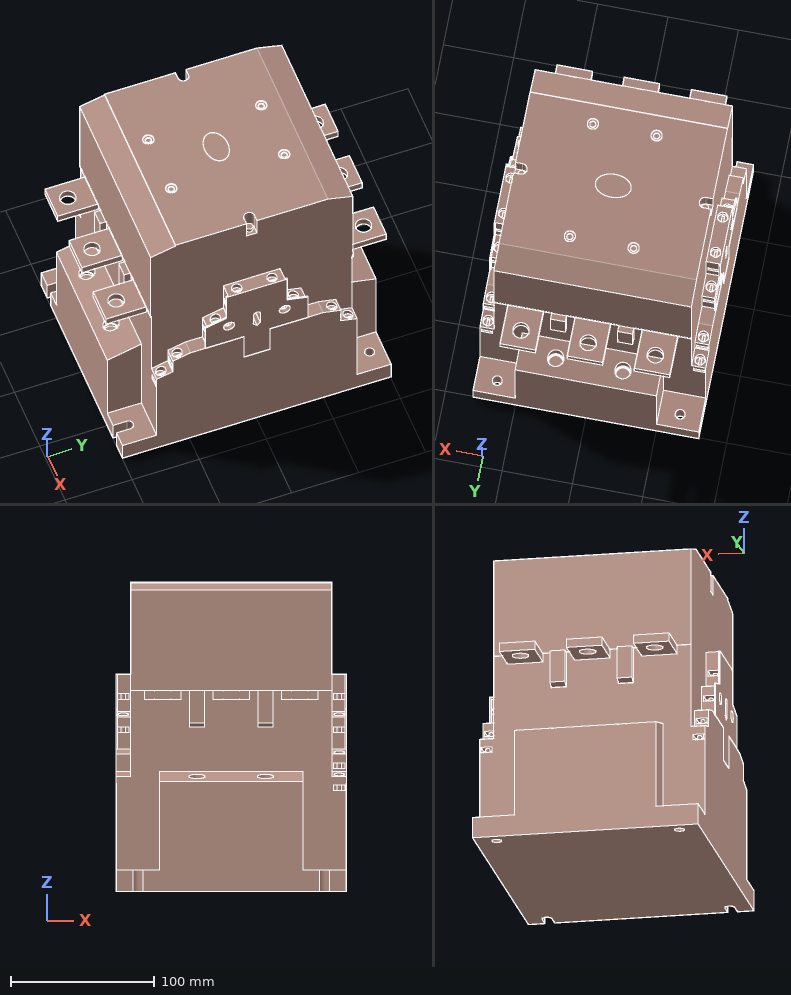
import cadquery as cq
import math

height = 216.0
slope = math.tan(math.radians(15))

core_width = 140.5
cover_length = 150.8
cover_bottom = 140.5
cover_flat_length = 113.6
cover_eave_height = 210.4
cover_front_step = 0.9
core_length = 149.5

base_width = 160.5
base_length = 200.5
base_thickness = 15.0
block_width = 100.5
block_edge_height = 77.0
block_hole_diameter = 11.2
block_hole_depth = 7.0
block_bore_diameter = 10.0
block_bore_depth = 2.2
block_hole_y = 87.5

mount_diameter = 7.0
mount_x = 65.0
mount_y = 89.9

pole_pitch = 47.7
bar_width = 25.3
bar_length = 209.0
bar_thickness = 6.0
bar_bottom = 134.1
bar_shift = -0.5
bar_hole_diameter = 11.5
bar_hole_y = 92.2

rib_width = 10.5
rib_length = 159.5
rib_bottom = 115.0
rib_bevel_z = 2.5
rib_bevel_y = 4.3

plate_top = 99.4
plate_flat_half = 49.5
plate_step_half = 62.6
plate_end_half = core_length / 2
plate_step_low = 83.5

aux_span = 161.0
aux_top = 151.6
aux_body_span = 159.0
aux_body_top_half = 21.2
aux_body_half = 36.7
aux_shoulder_edge = 121.5
aux_face_overlap = 1.5
aux_stem_half = 9.7
aux_stem_bottom = 75.5

window_width = 5.0
window_top = 123.5
window_bottom = 108.2

screw_diameter = 7.1
screw_depth = 4.3
screw_slot_width = 1.7
screw_slot_length = 4.8
screw_slot_depth = 1.3
side_screw_diameter = 8.0
side_head_diameter = 5.6
side_head_height = 1.7
side_screw_y = 20.7
side_screw_z = 117.0
screw_x = (core_width + aux_span) / 4
aux_top_screw_y = 13.2
aux_shoulder_screw_y = 29.2
plate_upper_screw_y = 57.7
plate_lower_screw_y = 69.8

entry_width = 7.8
entry_height = 3.9
entry_depth = 9.7
shank_diameter = 3.0
aux_top_entry_z = 136.0
aux_shoulder_entry_z = 112.8
plate_upper_entry_z = 88.0
plate_lower_entry_z = 72.4

cover_screw_x = 22.7
cover_screw_y = 42.1
cover_screw_diameter = 7.8
cover_screw_depth = 0.9
cover_screw_bore = 4.3
cover_screw_bore_depth = 1.7
notch_x = 65.2
notch_width = 7.8
notch_depth = 14.3
notch_head_diameter = 5.2
notch_head_height = 3.2
badge_length = 25.3
badge_width = 17.0
badge_depth = 0.2


def centred_box(length_x, length_y, bottom, top):
    box = cq.Workplane("XY").box(length_x, length_y, top - bottom, centered=(True, True, False))
    return box.translate((0, 0, bottom))


def side_prism(right_half, width):
    """Mirror a half outline of (y, z) points about Y = 0 and extrude it evenly along X."""
    left_half = [(-y, z) for y, z in reversed(right_half)]
    return cq.Workplane("YZ").polyline(right_half + left_half).close().extrude(width / 2, both=True)


def vertical_cylinder(diameter, x, y, bottom, top):
    return cq.Workplane("XY", origin=(x, y, bottom)).circle(diameter / 2).extrude(top - bottom)


def screw_recess(diameter, clearance):
    """Recess along -Z from the origin with a driver slot along Y; clearance extends it upward."""
    recess = vertical_cylinder(diameter, 0, 0, -screw_depth, clearance)
    slot = centred_box(screw_slot_width, screw_slot_length, -screw_depth - screw_slot_depth, -screw_depth)
    return recess.union(slot)


def raised_screw_recess():
    """Side screw recess along -Z, with a slotted head standing on its floor."""
    head_top = side_head_height - screw_depth
    head = vertical_cylinder(side_head_diameter, 0, 0, -screw_depth, head_top)
    head = head.cut(centred_box(screw_slot_width, screw_slot_length, head_top - screw_slot_depth, head_top))
    return vertical_cylinder(side_screw_diameter, 0, 0, -screw_depth, 0).cut(head)


def make_cover():
    half_length = cover_length / 2
    half_flat = cover_flat_length / 2
    outline = [
        (-half_length, cover_bottom),
        (half_length, cover_bottom),
        (half_length, cover_eave_height),
        (half_flat, height),
        (-half_flat, height),
        (-half_flat, height - cover_front_step),
        (-half_length, cover_eave_height),
    ]
    return cq.Workplane("YZ").polyline(outline).close().extrude(core_width / 2, both=True)


def make_base():
    base = centred_box(base_width, base_length, 0, base_thickness)
    for x in (-mount_x, mount_x):
        for y in (-mount_y, mount_y):
            base = base.cut(vertical_cylinder(mount_diameter, x, y, 0, base_thickness))
        open_slot = centred_box(mount_diameter, base_length / 2 - mount_y, 0, base_thickness)
        base = base.cut(open_slot.translate((x, -(base_length / 2 + mount_y) / 2, 0)))
    return base


def make_terminal_blocks():
    ridge_height = block_edge_height + slope * (base_length - core_length) / 2
    outline = [
        (base_length / 2, 0),
        (base_length / 2, block_edge_height),
        (core_length / 2, ridge_height),
    ]
    blocks = side_prism(outline, block_width)
    floor = block_edge_height + slope * (base_length / 2 - block_hole_y) - block_hole_depth
    for x in (-pole_pitch / 2, pole_pitch / 2):
        for y in (-block_hole_y, block_hole_y):
            blocks = blocks.cut(vertical_cylinder(block_hole_diameter, x, y, floor, ridge_height))
            blocks = blocks.cut(vertical_cylinder(block_bore_diameter, x, y, floor - block_bore_depth, floor))
    return blocks


def make_bars():
    bars = cq.Workplane("XY")
    for x in (-pole_pitch, 0, pole_pitch):
        bar = centred_box(bar_width, bar_length, bar_bottom, bar_bottom + bar_thickness)
        for y in (-bar_hole_y, bar_hole_y):
            bar = bar.cut(vertical_cylinder(bar_hole_diameter, 0, y, bar_bottom, cover_bottom))
        bars = bars.add(bar.translate((x, bar_shift, 0)))
    return bars.combine()


def make_ribs():
    outline = [
        (rib_length / 2 - rib_bevel_y, rib_bottom),
        (rib_length / 2, rib_bottom + rib_bevel_z),
        (rib_length / 2, cover_bottom),
    ]
    rib = side_prism(outline, rib_width)
    return rib.translate((-pole_pitch / 2, 0, 0)).union(rib.translate((pole_pitch / 2, 0, 0)))


def make_side_plates():
    outline = [
        (plate_end_half, 0),
        (plate_end_half, plate_step_low - slope * (plate_end_half - plate_step_half)),
        (plate_step_half, plate_step_low),
        (plate_step_half, plate_top - slope * (plate_step_half - plate_flat_half)),
        (plate_flat_half, plate_top),
    ]
    return side_prism(outline, base_width)


def aux_outline(overlap):
    """Half outline of an auxiliary block, with its steps moved outward by the overlap."""
    outer_half = aux_body_half + overlap
    top_half = aux_body_top_half + overlap
    shoulder_edge = aux_shoulder_edge + overlap
    return [
        (aux_stem_half, aux_stem_bottom),
        (aux_stem_half, plate_top),
        (outer_half, plate_top),
        (outer_half, shoulder_edge),
        (top_half, shoulder_edge + slope * (outer_half - top_half)),
        (top_half, aux_top),
    ]


def make_auxiliary_blocks():
    body = side_prism(aux_outline(0), aux_body_span)
    face_plates = side_prism(aux_outline(aux_face_overlap), aux_span)
    return face_plates.cut(centred_box(aux_body_span, base_length, 0, height)).union(body)


def make_window():
    tip_height = window_width / 2
    straight_top = window_top - window_width / 2
    profile = (
        cq.Workplane("YZ")
        .moveTo(0, window_bottom)
        .lineTo(window_width / 2, window_bottom + tip_height)
        .lineTo(window_width / 2, straight_top)
        .threePointArc((0, window_top), (-window_width / 2, straight_top))
        .lineTo(-window_width / 2, window_bottom + tip_height)
        .close()
    )
    return profile.extrude(aux_span, both=True)


def cut_terminal_screw(part, x, y, surface, face_y, entry_z):
    """Cut a top screw at (x, y) and the wire entry below it, opening at face_y with a screw shank inside."""
    recess = screw_recess(screw_diameter, slope * screw_diameter)
    entry = cq.Workplane("XY").box(entry_width, 2 * entry_depth, entry_height).translate((x, face_y, entry_z))
    shank = vertical_cylinder(shank_diameter, x, y, entry_z - entry_height / 2, entry_z + entry_height / 2)
    return part.cut(recess.translate((x, y, surface))).cut(entry.cut(shank))


def cut_terminal_screws(part):
    aux_shoulder = aux_shoulder_edge + slope * (aux_body_half - aux_shoulder_screw_y)
    plate_upper = plate_top - slope * (plate_upper_screw_y - plate_flat_half)
    plate_lower = plate_step_low - slope * (plate_lower_screw_y - plate_step_half)
    aux_screws = [
        (aux_top_screw_y, aux_top, aux_body_top_half, aux_top_entry_z),
        (aux_shoulder_screw_y, aux_shoulder, aux_body_half, aux_shoulder_entry_z),
    ]
    plate_screws = [
        (plate_upper_screw_y, plate_upper, plate_step_half, plate_upper_entry_z),
        (plate_lower_screw_y, plate_lower, plate_end_half, plate_lower_entry_z),
    ]
    for side in (-1, 1):
        for end in (-1, 1):
            screws = aux_screws if side < 0 and end < 0 else aux_screws + plate_screws
            for y, surface, face_y, entry_z in screws:
                part = cut_terminal_screw(part, side * screw_x, end * y, surface, end * face_y, entry_z)
    return part


def cut_side_screws(part):
    recess = raised_screw_recess()
    for side in (-1, 1):
        sideways = recess.rotate((0, 0, 0), (1, 0, 0), 90).rotate((0, 0, 0), (0, 0, 1), 90 * side)
        for y in (-side_screw_y, side_screw_y):
            part = part.cut(sideways.translate((side * aux_span / 2, y, side_screw_z)))
    return part


def cut_cover_details(part):
    for x in (-cover_screw_x, cover_screw_x):
        for y in (-cover_screw_y, cover_screw_y):
            head = vertical_cylinder(cover_screw_diameter, x, y, height - cover_screw_depth, height)
            bore = vertical_cylinder(cover_screw_bore, x, y, height - cover_screw_bore_depth, height)
            part = part.cut(head).cut(bore)
    notch_floor = height - notch_depth
    head_top = notch_floor + notch_head_height
    for side in (-1, 1):
        x = side * notch_x
        reach = core_width / 2 - notch_x
        mouth = centred_box(reach, notch_width, notch_floor, height).translate((x + side * reach / 2, 0, 0))
        part = part.cut(mouth)
        part = part.cut(vertical_cylinder(notch_width, x, 0, notch_floor, height))
        part = part.union(vertical_cylinder(notch_head_diameter, x, 0, notch_floor, head_top))
    badge = cq.Workplane("XY", origin=(0, 0, height)).ellipse(badge_length / 2, badge_width / 2)
    return part.cut(badge.extrude(-badge_depth))


result = centred_box(core_width, core_length, 0, cover_bottom)
for piece in (
    make_cover(),
    make_base(),
    make_side_plates(),
    make_auxiliary_blocks(),
    make_terminal_blocks(),
    make_ribs(),
    make_bars(),
):
    result = result.union(piece)
result = result.cut(make_window())
result = cut_terminal_screws(result)
result = cut_side_screws(result)
result = cut_cover_details(result)